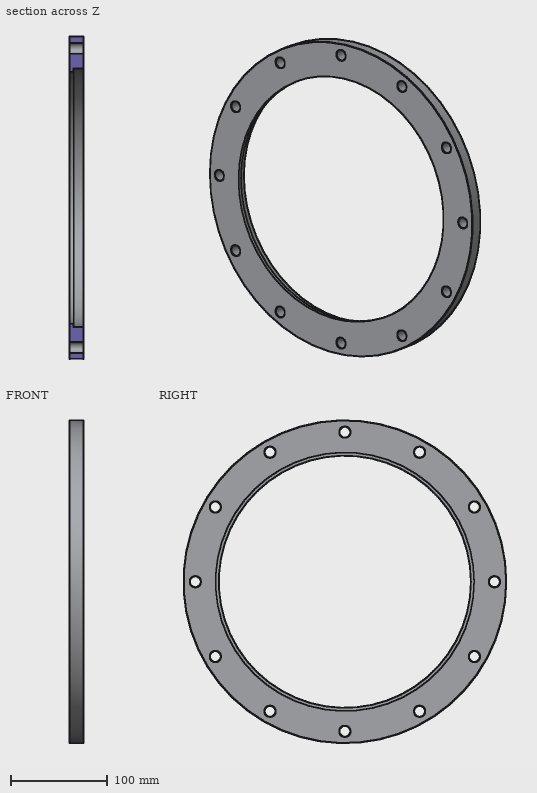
import cadquery as cq

thickness = 14.8
outer_diameter = 335.0
bore_diameter = 261.0
rim_chamfer = 0.5

recess_diameter = 268.0
lip_thickness = 4.4
recess_depth = thickness - lip_thickness

hole_count = 12
hole_diameter = 11.0
bolt_circle_diameter = 310.0
hole_chamfer = 0.5


def cylinder_along_x(diameter, length, start_x=0.0):
    """Solid cylinder on the ring axis, running in +X from start_x."""
    return cq.Workplane("YZ", origin=(start_x, 0, 0)).circle(diameter / 2).extrude(length)


def ring_body():
    """Flat disc with both rim edges chamfered, then bored and recessed."""
    disc = cylinder_along_x(outer_diameter, thickness).edges().chamfer(rim_chamfer)
    bore = cylinder_along_x(bore_diameter, thickness)
    recess = cylinder_along_x(recess_diameter, recess_depth, lip_thickness)
    return disc.cut(bore).cut(recess)


def bolt_hole_cutter():
    """One bolt hole at the top of the bolt circle, flared by a chamfer at both faces."""
    radius = hole_diameter / 2
    mouth_radius = radius + hole_chamfer
    profile = [
        (0, 0),
        (0, mouth_radius),
        (hole_chamfer, radius),
        (thickness - hole_chamfer, radius),
        (thickness, mouth_radius),
        (thickness, 0),
    ]
    cutter = cq.Workplane("XZ").polyline(profile).close().revolve(360, (0, 0, 0), (1, 0, 0))
    return cutter.translate((0, 0, bolt_circle_diameter / 2))


result = ring_body()
for hole_index in range(hole_count):
    hole_angle = hole_index * 360 / hole_count
    result = result.cut(bolt_hole_cutter().rotate((0, 0, 0), (1, 0, 0), hole_angle))